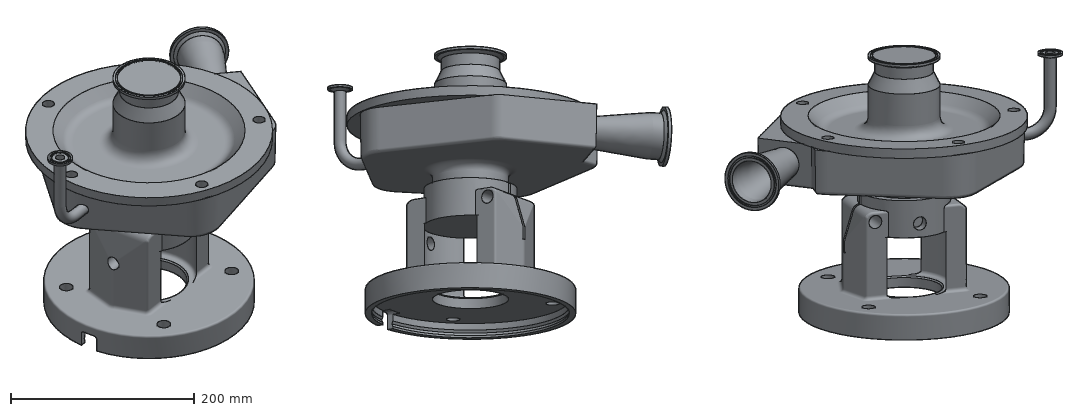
import cadquery as cq
import math


base_radius = 115.0
base_height = 28.8
base_edge_fillet = 2.5
base_recess_radius = 108.0
base_recess_depth = 16.0
base_groove_bottom = 2.5
base_groove_top = 8.5
base_groove_depth = 1.2
base_bore_radius = 41.5
base_bore_chamfer = 1.5
base_bolt_circle_radius = 91.5
base_bolt_radius = 7.5
base_first_bolt_angle = 45
base_bolt_count = 4
notch_width = 20.0
notch_height = 18.5
notch_depth = 16.5
notch_corner_fillet = 3.3

leg_half_width = 39.5
leg_ridge_y = 70.3
leg_slope = 0.31
leg_top = 127.5
leg_bore_radius = 52.0
leg_bore_fillet = 4.5
leg_foot_fillet = 4.5
leg_ridge_fillet = 8.2
leg_edge_fillet = 3.0
leg_top_fillet = 10.5
ridge_hole_height = 86.0
leg_hole_radius = 7.5

collar_radius = 51.0
collar_bottom = 98.0
collar_top = 140.0
clamp_hole_y = 47.5
clamp_hole_height = 116.7
clamp_slit_width = 3.5
clamp_slit_bottom = 74.0
collar_hole_height = 113.5
collar_hole_depth = 12.5
neck_radius = 41.5
neck_fillet = 9.5

casing_bottom = 161.0
casing_top = 211.5
casing_side_count = 5
casing_first_face_angle = 9
casing_face_distance = 114.5
casing_draft = 1.0
casing_corner_fillet = 35.0
casing_bottom_fillet = 3.5
outlet_angle = 135
outlet_face_distance = 115.0
outlet_side_angle = 55
outlet_side_distance = 140.5
outlet_side_fillet = 19.5
cut_corner_distance = 132.5

cover_radius = 135.0
cover_top = 222.5
cover_bolt_circle_radius = 122.0
cover_bolt_radius = 6.5
cover_first_bolt_angle = 45
cover_bolt_count = 5
dish_radius = 105.0
dish_depth = 15.5
dish_wall_angle = 45
dish_fillet = 14.5

inlet_radius = 39.5
inlet_neck_radius = 32.0
inlet_cone_bottom = 257.7
inlet_cone_top = 272.5
total_height = 291.0
inlet_ferrule_radius = 39.5
inlet_ferrule_lip = 3.0
inlet_ferrule_height = 5.8
inlet_groove_radius = 35.8
groove_width = 2.0
groove_depth = 1.2

nozzle_offset = 91.0
nozzle_height = 187.0
nozzle_end_distance = 198.5
nozzle_straight = 19.0
nozzle_radius = 25.5
nozzle_root_radius = 17.5
nozzle_root_depth = 4.0
nozzle_ferrule_radius = 32.5
nozzle_ferrule_lip = 3.5
nozzle_ferrule_height = 7.0
nozzle_groove_radius = 28.0
nozzle_bore_radius = 23.5
nozzle_bore_straight = 12.0
nozzle_bore_step_radius = 21.8
nozzle_bore_step = 24.0
nozzle_bore_root_radius = 15.0

pipe_radius = 6.5
pipe_bore_radius = 5.0
pipe_axis_y = -169.8
pipe_height = 188.0
pipe_bend_radius = 28.8
pipe_top = 278.0
pipe_inner_y = -115.0
pipe_ferrule_radius = 13.5
pipe_ferrule_lip = 2.5
pipe_ferrule_height = 5.0
pipe_groove_radius = 10.3


def disc(radius, bottom, top):
    return cq.Workplane("XY").workplane(offset=bottom).circle(radius).extrude(top - bottom)


def revolve_z(profile):
    return profile.close().revolve(360, (0, 0, 0), (0, 1, 0))


def cylinder_along(start, direction, radius, length):
    return cq.Workplane(cq.Solid.makeCylinder(radius, length, cq.Vector(*start), cq.Vector(*direction)))


def ferrule(radius, neck, lip, height, top):
    """Clamp ferrule around Z: a thin disc tapering down to its neck."""
    return revolve_z(
        cq.Workplane("XZ")
        .moveTo(0, top)
        .lineTo(radius, top)
        .lineTo(radius, top - lip)
        .lineTo(radius - lip, top - lip)
        .lineTo(neck, top - height)
        .lineTo(0, top - height)
    )


def gasket_groove(radius, top):
    """Ring cut around Z, centred on the given radius."""
    outer = radius + groove_width / 2
    inner = radius - groove_width / 2
    return (
        cq.Workplane("XY").workplane(offset=top - groove_depth)
        .circle(outer).circle(inner).extrude(groove_depth)
    )


def make_leg():
    """The -Y leg as a full ridged prism from the shaft axis outwards."""
    corner_y = leg_ridge_y - leg_slope * leg_half_width
    leg = (
        cq.Workplane("XY")
        .moveTo(-leg_half_width, 0)
        .lineTo(-leg_half_width, -corner_y)
        .lineTo(0, -leg_ridge_y)
        .lineTo(leg_half_width, -corner_y)
        .lineTo(leg_half_width, 0)
        .close()
        .extrude(leg_top)
    )
    rise = leg_top - ridge_hole_height
    slope_cut = (
        cq.Workplane("YZ")
        .moveTo(-leg_ridge_y, ridge_hole_height)
        .lineTo(-leg_ridge_y + leg_slope * rise, leg_top)
        .lineTo(-leg_ridge_y, leg_top)
        .close()
        .extrude(leg_half_width, both=True)
    )
    ridge_edge = cq.selectors.NearestToPointSelector((0, -leg_ridge_y, base_height))
    leg = leg.cut(slope_cut)
    leg = leg.edges("|Z").edges(ridge_edge).fillet(leg_ridge_fillet)
    top_edge = cq.selectors.NearestToPointSelector((0, -corner_y, leg_top))
    leg = leg.edges("|X").edges(top_edge).fillet(leg_top_fillet)
    for side in (-1, 1):
        corner = cq.selectors.NearestToPointSelector((side * leg_half_width, -corner_y, leg_top / 2))
        leg = leg.edges(corner).fillet(leg_edge_fillet)
    for side in (-1, 1):
        top_side = cq.selectors.NearestToPointSelector((side * leg_half_width, 0, leg_top))
        leg = leg.edges(top_side).fillet(leg_edge_fillet)
    return leg


def make_bracket():
    """Mounting plate, both legs and the shaft opening between them."""
    plate = disc(base_radius, 0, base_height).faces(">Z").edges().fillet(base_edge_fillet)
    leg = make_leg()
    bracket = plate.union(leg).union(leg.mirror("XZ"))

    foot_box = cq.selectors.BoxSelector(
        (-leg_half_width - leg_foot_fillet, -leg_ridge_y, base_height - leg_foot_fillet / 2),
        (leg_half_width + leg_foot_fillet, leg_ridge_y, base_height + leg_foot_fillet / 2),
    )
    bracket = bracket.edges(foot_box).fillet(leg_foot_fillet)

    opening = disc(leg_bore_radius, base_height, collar_bottom)
    opening = opening.faces("<Z").edges().fillet(leg_bore_fillet)
    bracket = bracket.cut(opening)
    bore = revolve_z(
        cq.Workplane("XZ")
        .lineTo(base_bore_radius, 0)
        .lineTo(base_bore_radius, base_height - base_bore_chamfer)
        .lineTo(base_bore_radius + base_bore_chamfer, base_height)
        .lineTo(0, base_height)
    )
    bracket = bracket.cut(bore)
    bracket = bracket.cut(disc(base_recess_radius, 0, base_recess_depth))
    recess_groove = revolve_z(
        cq.Workplane("XZ")
        .moveTo(base_recess_radius, base_groove_bottom)
        .lineTo(base_recess_radius + base_groove_depth, (base_groove_bottom + base_groove_top) / 2)
        .lineTo(base_recess_radius, base_groove_top)
    )
    bracket = bracket.cut(recess_groove)

    bolts = (
        cq.Workplane("XY")
        .polarArray(base_bolt_circle_radius, base_first_bolt_angle, 360, base_bolt_count)
        .circle(base_bolt_radius)
        .extrude(base_height)
    )
    notch = (
        cq.Workplane("XY")
        .box(notch_width, notch_depth, notch_height, centered=(True, False, False))
        .edges("|Y and >Z")
        .fillet(notch_corner_fillet)
        .translate((0, -base_radius, 0))
    )
    return bracket.cut(bolts).cut(notch)


def make_collar():
    """Clamp collar and the flared neck that carries the casing."""
    return revolve_z(
        cq.Workplane("XZ")
        .moveTo(0, collar_bottom)
        .lineTo(collar_radius, collar_bottom)
        .lineTo(collar_radius, collar_top)
        .lineTo(neck_radius, collar_top)
        .lineTo(neck_radius, casing_bottom - neck_fillet)
        .radiusArc((neck_radius + neck_fillet, casing_bottom), neck_fillet)
        .lineTo(0, casing_bottom)
    )


def make_clamp_cuts():
    """Cross hole and slit of the +Y leg, ridge hole of the -Y leg, side hole of the collar."""
    clamp_hole = cylinder_along(
        (-collar_radius, clamp_hole_y, clamp_hole_height), (1, 0, 0), leg_hole_radius, 2 * collar_radius
    )
    slit = (
        cq.Workplane("XY")
        .box(
            clamp_slit_width,
            leg_ridge_y - neck_radius,
            collar_top - clamp_slit_bottom,
            centered=(True, False, False),
        )
        .translate((0, neck_radius, clamp_slit_bottom))
    )
    ridge_hole = cylinder_along(
        (0, -leg_ridge_y, ridge_hole_height), (0, 1, 0), leg_hole_radius, leg_ridge_y
    )
    side_hole = cylinder_along(
        (-collar_radius, 0, collar_hole_height), (1, 0, 0), leg_hole_radius, collar_hole_depth
    )
    return clamp_hole.union(slit).union(ridge_hole).union(side_hole)


def crossing(first_face, second_face):
    """Point where two upright faces meet, each given as (normal angle, distance from the axis)."""
    first_angle, first_distance = first_face
    second_angle, second_distance = second_face
    a = math.radians(first_angle)
    b = math.radians(second_angle)
    span = math.sin(b - a)
    x = (first_distance * math.sin(b) - second_distance * math.sin(a)) / span
    y = (second_distance * math.cos(a) - first_distance * math.cos(b)) / span
    return (x, y)


def make_casing():
    """Drafted casing; its right-hand face comes first and the others follow anticlockwise."""
    pentagon = [
        (casing_first_face_angle + 360 / casing_side_count * side, casing_face_distance)
        for side in range(casing_side_count)
    ]
    right, back, left, front_left, front_right = pentagon
    outlet = (outlet_angle, outlet_face_distance)
    outlet_side = (outlet_side_angle, outlet_side_distance)
    cut_corner = (outlet_angle, cut_corner_distance)
    faces = [right, outlet_side, outlet, back, cut_corner, left, front_left, front_right]
    corners = [crossing(face, following) for face, following in zip(faces, faces[1:] + faces[:1])]

    casing = (
        cq.Workplane("XY").workplane(offset=casing_top)
        .polyline(corners).close()
        .extrude(casing_bottom - casing_top, taper=casing_draft)
    )
    rounded = [
        (right, outlet_side, outlet_side_fillet),
        (cut_corner, left, casing_corner_fillet),
        (left, front_left, casing_corner_fillet),
        (front_left, front_right, casing_corner_fillet),
        (front_right, right, casing_corner_fillet),
    ]
    middle = (casing_bottom + casing_top) / 2
    for first_face, second_face, radius in rounded:
        x, y = crossing(first_face, second_face)
        edge = cq.selectors.NearestToPointSelector((x, y, middle))
        casing = casing.edges(edge).fillet(radius)
    return casing.faces("<Z").edges().fillet(casing_bottom_fillet)


def make_cover():
    """Round flange with its bolt holes and the dish around the inlet column."""
    cover = disc(cover_radius, casing_top, cover_top)
    bolts = (
        cq.Workplane("XY").workplane(offset=casing_top)
        .polarArray(cover_bolt_circle_radius, cover_first_bolt_angle, 360, cover_bolt_count)
        .circle(cover_bolt_radius)
        .extrude(cover_top - casing_top)
    )
    return cover.cut(bolts)


def make_dish():
    """Ring-shaped hollow with a sloping outer wall and rounded floor corners."""
    floor = cover_top - dish_depth
    wall_foot = dish_radius - dish_depth / math.tan(math.radians(dish_wall_angle))
    setback = dish_fillet * math.tan(math.radians(dish_wall_angle / 2))
    rise = setback * math.sin(math.radians(dish_wall_angle))
    run = setback * math.cos(math.radians(dish_wall_angle))
    return revolve_z(
        cq.Workplane("XZ")
        .moveTo(inlet_radius, cover_top)
        .lineTo(dish_radius, cover_top)
        .lineTo(wall_foot + run, floor + rise)
        .radiusArc((wall_foot - setback, floor), dish_fillet)
        .lineTo(inlet_radius + dish_fillet, floor)
        .radiusArc((inlet_radius, floor + dish_fillet), dish_fillet)
    )


def make_inlet():
    """Closed inlet column with a clamp ferrule on top."""
    column = revolve_z(
        cq.Workplane("XZ")
        .moveTo(0, cover_top - dish_depth)
        .lineTo(inlet_radius, cover_top - dish_depth)
        .lineTo(inlet_radius, inlet_cone_bottom)
        .lineTo(inlet_neck_radius, inlet_cone_top)
        .lineTo(inlet_neck_radius, total_height - inlet_ferrule_height)
        .lineTo(0, total_height - inlet_ferrule_height)
    )
    rim = ferrule(
        inlet_ferrule_radius, inlet_neck_radius, inlet_ferrule_lip, inlet_ferrule_height, total_height
    )
    return column.union(rim).cut(gasket_groove(inlet_groove_radius, total_height))


def turn_to_outlet(shape):
    """Lay a shape built around Z along the discharge axis."""
    outlet = math.radians(outlet_angle)
    return (
        shape.rotate((0, 0, 0), (0, 1, 0), 90)
        .rotate((0, 0, 0), (0, 0, 1), outlet_angle)
        .translate((nozzle_offset * math.sin(outlet), -nozzle_offset * math.cos(outlet), nozzle_height))
    )


def make_nozzle():
    """Conical discharge nozzle with a blind tapered bore."""
    end = nozzle_end_distance
    body = revolve_z(
        cq.Workplane("XZ")
        .moveTo(0, outlet_face_distance - nozzle_root_depth)
        .lineTo(nozzle_root_radius, outlet_face_distance - nozzle_root_depth)
        .lineTo(nozzle_root_radius, outlet_face_distance)
        .lineTo(nozzle_radius, end - nozzle_straight)
        .lineTo(nozzle_radius, end - nozzle_ferrule_height)
        .lineTo(0, end - nozzle_ferrule_height)
    )
    rim = ferrule(nozzle_ferrule_radius, nozzle_radius, nozzle_ferrule_lip, nozzle_ferrule_height, end)
    bore = revolve_z(
        cq.Workplane("XZ")
        .moveTo(0, end)
        .lineTo(nozzle_bore_radius, end)
        .lineTo(nozzle_bore_radius, end - nozzle_bore_straight)
        .lineTo(nozzle_bore_step_radius, end - nozzle_bore_step)
        .lineTo(nozzle_bore_root_radius, outlet_face_distance)
        .lineTo(0, outlet_face_distance)
    )
    return turn_to_outlet(body.union(rim).cut(gasket_groove(nozzle_groove_radius, end)).cut(bore))


def pipe_run(radius, start_y):
    """Solid rod from the casing out along -Y, then up to the top of the flush pipe."""
    path = (
        cq.Workplane("YZ")
        .moveTo(start_y, pipe_height)
        .lineTo(pipe_axis_y + pipe_bend_radius, pipe_height)
        .radiusArc((pipe_axis_y, pipe_height + pipe_bend_radius), pipe_bend_radius)
        .lineTo(pipe_axis_y, pipe_top)
    )
    return cq.Workplane("XZ", origin=(0, start_y, pipe_height)).circle(radius).sweep(path)


def make_flush_pipe():
    rim = ferrule(pipe_ferrule_radius, pipe_radius, pipe_ferrule_lip, pipe_ferrule_height, pipe_top)
    rim = rim.cut(gasket_groove(pipe_groove_radius, pipe_top)).translate((0, pipe_axis_y, 0))
    return pipe_run(pipe_radius, pipe_inner_y).union(rim)


result = make_bracket().union(make_collar()).cut(make_clamp_cuts())
result = result.union(make_casing()).union(make_cover()).cut(make_dish())
result = result.union(make_inlet()).union(make_nozzle()).union(make_flush_pipe())
result = result.cut(pipe_run(pipe_bore_radius, -casing_face_distance))